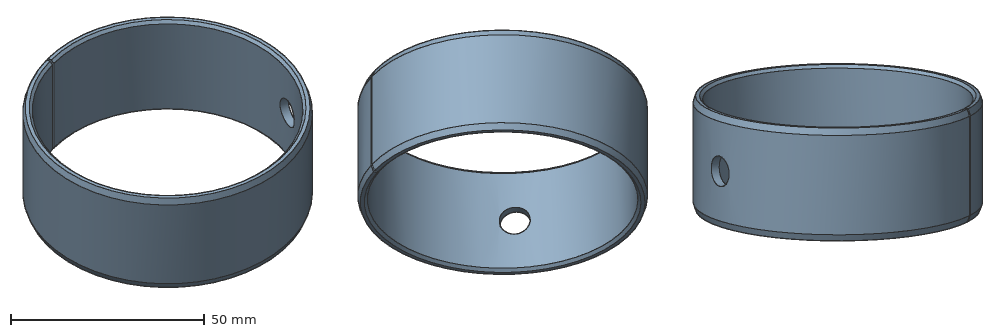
import cadquery as cq
import math

outer_diameter = 75.0
wall = 2.5
width = 30.0

outer_chamfer_length = 1.8
outer_chamfer_angle = 20.0
outer_chamfer_depth = outer_chamfer_length * math.tan(math.radians(outer_chamfer_angle))
inner_chamfer = 0.8

split_start_angle = 180.0
split_gap_angle = 1.0
split_end_angle = split_start_angle - split_gap_angle

hole_diameter = 8.0
hole_from_split = 120.0
hole_angle = split_end_angle - hole_from_split

outer_radius = outer_diameter / 2
inner_radius = outer_radius - wall
half_width = width / 2


def split_ring():
    """Ring centred on the origin: the chamfered wall section swept round all but the split gap."""
    outer_edge_radius = outer_radius - outer_chamfer_depth
    inner_edge_radius = inner_radius + inner_chamfer
    outer_edge_z = half_width - outer_chamfer_length
    inner_edge_z = half_width - inner_chamfer
    section = [
        (inner_radius, -inner_edge_z),
        (inner_edge_radius, -half_width),
        (outer_edge_radius, -half_width),
        (outer_radius, -outer_edge_z),
        (outer_radius, outer_edge_z),
        (outer_edge_radius, half_width),
        (inner_edge_radius, half_width),
        (inner_radius, inner_edge_z),
    ]
    profile = cq.Workplane("XZ").polyline(section).close()
    ring = profile.revolve(360 - split_gap_angle, (0, 0, 0), (0, 1, 0))
    return ring.rotate((0, 0, 0), (0, 0, 1), split_start_angle)


def hole_cutter():
    """Radial cylinder from the axis out through one wall."""
    cylinder = cq.Workplane("YZ").circle(hole_diameter / 2).extrude(outer_diameter)
    return cylinder.rotate((0, 0, 0), (0, 0, 1), hole_angle)


result = split_ring().cut(hole_cutter())